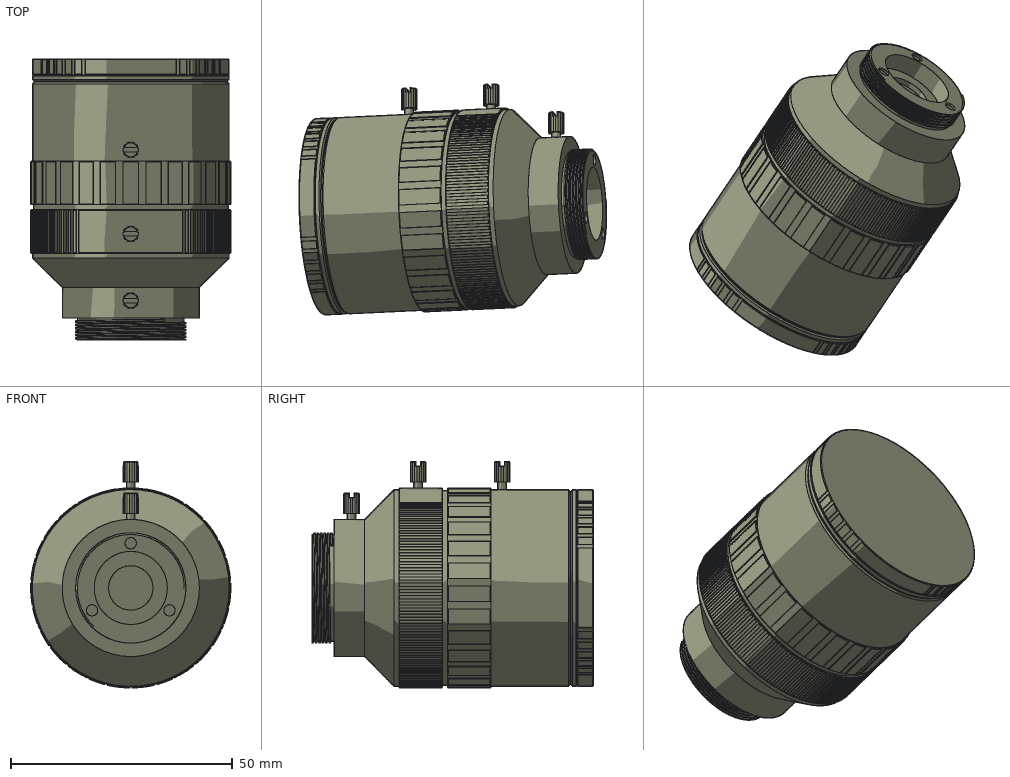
import cadquery as cq
import math

LENGTH = 63.5

FLANGE_Y = 4.95
CONE_START_Y = 11.9
CONE_END_Y = 18.5
KNURLED_RING_Y = (19.55, 29.45)
RIBBED_RING_Y = (30.55, 40.4)
LIP_Y = (58.8, 59.6)
FRONT_RING_Y = 59.8

BARREL_R = 22.2
GRIP_R = 22.6
GRIP_GAP_R = 22.05
FLANGE_R = 15.5
EDGE_CHAMFER = 0.2
FRONT_GROOVE_DEPTH = 0.4
FRONT_GROOVE_Y = (58.2, 58.5)

RIB_COUNT = 27
RIB_GAP_DEPTH = 0.25
RIB_GAP_DEGREES = 4.3
KNURL_COUNT = 100
KNURL_DEPTH = 0.2
KNURL_DEGREES = 1.7
KNURL_FIRST = 9
FRONT_COUNT = 50
FRONT_DEPTH = 0.2
FRONT_DEGREES = 2.3
FRONT_STEPS = range(4, 10)

THREAD_R = 12.45
THREAD_DEPTH = 0.4
THREAD_PITCH = 0.75
THREAD_CREST = 0.3
THREAD_BASE = 0.6
THREAD_TURNS = 5.9
THREAD_START_Y = -0.05
THREAD_START_DEGREES = -16
THREAD_SINK = 0.1
CORE_R = THREAD_R - THREAD_DEPTH

REAR_BORE_R = 8.25
REAR_BORE_DEPTH = 4.05
APERTURE_R = 5.0
APERTURE_DEPTH = 1.2
SPANNER_HOLE_R = 1.3
SPANNER_HOLE_DEPTH = 0.5
SPANNER_CIRCLE_R = 10.1
SPANNER_HOLE_COUNT = 3

HIGH_SCREW_TOP = 28.5
LOW_SCREW_TOP = 21.4
SCREWS = [(8.9, LOW_SCREW_TOP), (23.95, HIGH_SCREW_TOP), (42.9, HIGH_SCREW_TOP)]
HEAD_R = 1.8
HEAD_HEIGHT = 4.65
STEM_R = 1.0
STEM_LENGTH = 2.55
SLOT_WIDTH = 1.0
SLOT_DEPTH = 1.0
FLUTE_COUNT = 10
FLUTE_R = 0.3
FLUTE_CENTRE_R = 1.9


def disc(radius, start_y, end_y):
    """Cylinder about the optical axis."""
    return cq.Workplane("XZ", origin=(0, start_y, 0)).circle(radius).extrude(start_y - end_y)


def fluted_disc(start_y, end_y, radius, depth, flute_degrees, angles):
    """Disc with chamfered rims and flat-bottomed flutes along Y at the given angles."""
    blank = disc(radius, start_y, end_y).edges().chamfer(EDGE_CHAMFER)
    width = 2 * radius * math.sin(math.radians(flute_degrees / 2))
    length = end_y - start_y
    middle = (start_y + end_y) / 2
    cutter = cq.Workplane().box(width, length, 2 * depth).translate((0, middle, radius)).val()
    flutes = [cutter.rotate((0, 0, 0), (0, 1, 0), angle) for angle in angles]
    return blank.cut(cq.Workplane(cq.Compound.makeCompound(flutes)))


def barrel_core():
    """Turned core of the barrel, from the thread root to the seat of the front ring."""
    groove_r = BARREL_R - FRONT_GROOVE_DEPTH
    profile = [
        (0, 0),
        (CORE_R, 0),
        (CORE_R, FLANGE_Y),
        (FLANGE_R, FLANGE_Y),
        (FLANGE_R, CONE_START_Y),
        (BARREL_R, CONE_END_Y),
        (BARREL_R, KNURLED_RING_Y[0]),
        (GRIP_GAP_R, KNURLED_RING_Y[0]),
        (GRIP_GAP_R, RIBBED_RING_Y[1]),
        (BARREL_R, RIBBED_RING_Y[1]),
        (BARREL_R, FRONT_GROOVE_Y[0] - FRONT_GROOVE_DEPTH),
        (groove_r, FRONT_GROOVE_Y[0]),
        (groove_r, FRONT_GROOVE_Y[1]),
        (BARREL_R, LIP_Y[0]),
        (BARREL_R, LIP_Y[1]),
        (BARREL_R - EDGE_CHAMFER, FRONT_RING_Y),
        (0, FRONT_RING_Y),
    ]
    return cq.Workplane("XY").polyline(profile).close().revolve(360, (0, 0, 0), (0, 1, 0))


def ribbed_ring():
    pitch = 360 / RIB_COUNT
    angles = [(step + 0.5) * pitch for step in range(RIB_COUNT)]
    return fluted_disc(*RIBBED_RING_Y, GRIP_R, RIB_GAP_DEPTH, RIB_GAP_DEGREES, angles)


def knurled_ring():
    pitch = 360 / KNURL_COUNT
    angles = [step * pitch for step in range(KNURL_FIRST, KNURL_COUNT - KNURL_FIRST + 1)]
    return fluted_disc(*KNURLED_RING_Y, GRIP_R, KNURL_DEPTH, KNURL_DEGREES, angles)


def mount_thread():
    """Right-handed ridge wound on the thread core and trimmed flush with the mount's end."""
    height = THREAD_PITCH * THREAD_TURNS
    root_r = CORE_R - THREAD_SINK
    helix = cq.Wire.makeHelix(THREAD_PITCH, height, CORE_R)
    section = [
        (root_r, -THREAD_BASE / 2),
        (THREAD_R, -THREAD_CREST / 2),
        (THREAD_R, THREAD_CREST / 2),
        (root_r, THREAD_BASE / 2),
    ]
    ridge = cq.Workplane("XZ").polyline(section).close().sweep(cq.Workplane(helix), isFrenet=True)
    ridge = ridge.rotate((0, 0, 0), (0, 0, 1), THREAD_START_DEGREES)
    ridge = ridge.rotate((0, 0, 0), (1, 0, 0), -90).translate((0, THREAD_START_Y, 0))
    return ridge.intersect(disc(BARREL_R, 0, FLANGE_Y))


def rear_openings():
    """Stepped recess and blind spanner holes in the mount's end face."""
    cut = disc(REAR_BORE_R, 0, REAR_BORE_DEPTH)
    cut = cut.union(disc(APERTURE_R, 0, REAR_BORE_DEPTH + APERTURE_DEPTH))
    hole = disc(SPANNER_HOLE_R, 0, SPANNER_HOLE_DEPTH).translate((0, 0, SPANNER_CIRCLE_R))
    for step in range(SPANNER_HOLE_COUNT):
        cut = cut.union(hole.rotate((0, 0, 0), (0, 1, 0), step * 360 / SPANNER_HOLE_COUNT))
    return cut


def lock_screw(y, top_z):
    """Fluted thumb screw with a driver slot along X, standing on its stem."""
    head_z = top_z - HEAD_HEIGHT
    head = cq.Workplane("XY").circle(HEAD_R).extrude(HEAD_HEIGHT)
    head = head.faces(">Z").edges().chamfer(EDGE_CHAMFER)
    flutes = (
        cq.Workplane("XY")
        .polarArray(FLUTE_CENTRE_R, -90, 360, FLUTE_COUNT)
        .circle(FLUTE_R)
        .extrude(HEAD_HEIGHT)
    )
    slot = cq.Workplane("XY").box(2 * HEAD_R, SLOT_WIDTH, 2 * SLOT_DEPTH)
    slot = slot.translate((0, 0, HEAD_HEIGHT))
    stem = cq.Workplane("XY").circle(STEM_R).extrude(-STEM_LENGTH)
    return head.cut(flutes).cut(slot).union(stem).translate((0, y, head_z))


def make_barrel():
    barrel = barrel_core().union(ribbed_ring()).union(knurled_ring())
    barrel = barrel.union(mount_thread()).cut(rear_openings())
    for y, top_z in SCREWS:
        barrel = barrel.union(lock_screw(y, top_z))
    return barrel


def make_front_ring():
    """Front ring, fluted in four groups with plain stretches between them."""
    pitch = 360 / FRONT_COUNT
    group = [step * pitch for step in FRONT_STEPS]
    right_half = group + [180 - angle for angle in group]
    angles = right_half + [-angle for angle in right_half]
    return fluted_disc(FRONT_RING_Y, LENGTH, BARREL_R, FRONT_DEPTH, FRONT_DEGREES, angles)


barrel = make_barrel()
front_ring = make_front_ring()
result = cq.Compound.makeCompound([barrel.solids().val(), front_ring.val()])